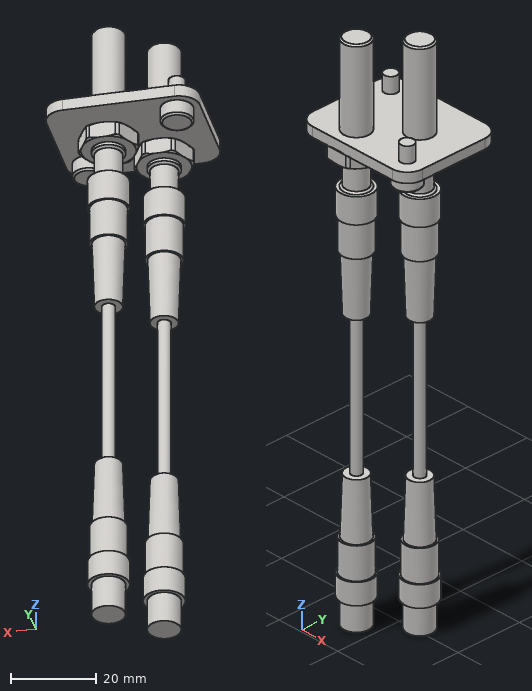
import cadquery as cq


plate_length = 37.0
plate_width = 30.5
plate_thickness = 3.0
plate_corner_radius = 5.0

sensor_spacing_x = 11.1
sensor_positions = [(-sensor_spacing_x / 2, -8.5), (sensor_spacing_x / 2, 1.5)]
rod_diameter = 8.0
rod_top = 25.3
rod_top_chamfer = 0.5
neck_top = -8.4
neck_diameter = 6.8
neck_bottom = -15.1
neck_cone_height = 0.5
sensor_bottom = neck_bottom - neck_cone_height

nut_across_flats = 12.9
nut_corner_diameter = 14.3
nut_thickness = 4.0
nut_chamfer_height = 0.3
nut_chamfer_width = 0.6

collar_diameter = 10.0
sleeve_diameter = 9.0
boot_large_diameter = 7.9
boot_small_diameter = 6.8
cable_diameter = 3.2
sleeve_length = 9.7
boot_length = 17.4
upper_collar_length = 7.7
cable_free_length = 43.6
lower_collar_length = 6.5
plug_tip_diameter = 8.0
plug_tip_lengths = [7.9, 8.2]

screw_positions = [(-12.9, 9.7), (12.9, -9.7)]
screw_shank_diameter = 4.0
screw_top = 4.8
screw_head_diameter = 7.9
screw_head_thickness = 3.9
screw_head_chamfer = 0.5


def cylinder(diameter, bottom, top):
    return cq.Workplane("XY").workplane(offset=bottom).circle(diameter / 2).extrude(top - bottom)


def make_plate():
    plate = (
        cq.Workplane("XY")
        .workplane(offset=-plate_thickness)
        .rect(plate_length, plate_width)
        .extrude(plate_thickness)
        .edges("|Z")
        .fillet(plate_corner_radius)
    )
    holes = [(position, rod_diameter) for position in sensor_positions]
    holes += [(position, screw_shank_diameter) for position in screw_positions]
    for (x, y), diameter in holes:
        plate = plate.cut(cylinder(diameter, -plate_thickness, 0).translate((x, y, 0)))
    return plate


def revolve_about_z(outline):
    return cq.Workplane("XZ").polyline(outline).close().revolve(360, (0, 0), (0, 1))


def make_sensor():
    rod_radius = rod_diameter / 2
    neck_radius = neck_diameter / 2
    return revolve_about_z(
        [
            (0, rod_top),
            (rod_radius - rod_top_chamfer, rod_top),
            (rod_radius, rod_top - rod_top_chamfer),
            (rod_radius, neck_top + neck_cone_height),
            (neck_radius, neck_top),
            (neck_radius, neck_bottom),
            (rod_radius, sensor_bottom),
            (0, sensor_bottom),
        ]
    )


def make_nut():
    bottom = -plate_thickness - nut_thickness
    hexagon = (
        cq.Workplane("XY")
        .workplane(offset=bottom)
        .polygon(6, nut_across_flats, circumscribed=True)
        .extrude(nut_thickness)
        .rotate((0, 0, 0), (0, 0, 1), 30)
    )
    trimming_disc = (
        cylinder(nut_corner_diameter, bottom, -plate_thickness)
        .faces("<Z or >Z")
        .chamfer(nut_chamfer_height, nut_chamfer_width)
    )
    return hexagon.intersect(trimming_disc).cut(cylinder(rod_diameter, bottom, -plate_thickness))


def make_cable(plug_tip_length):
    sections = [
        (upper_collar_length, collar_diameter, collar_diameter),
        (sleeve_length, sleeve_diameter, sleeve_diameter),
        (boot_length, boot_large_diameter, boot_small_diameter),
        (cable_free_length, cable_diameter, cable_diameter),
        (boot_length, boot_small_diameter, boot_large_diameter),
        (sleeve_length, sleeve_diameter, sleeve_diameter),
        (lower_collar_length, collar_diameter, collar_diameter),
        (plug_tip_length, plug_tip_diameter, plug_tip_diameter),
    ]
    z = sensor_bottom
    outline = [(0, z)]
    for length, top_diameter, bottom_diameter in sections:
        outline.append((top_diameter / 2, z))
        z -= length
        outline.append((bottom_diameter / 2, z))
    outline.append((0, z))
    return revolve_about_z(outline)


def make_screw():
    head_bottom = -plate_thickness - screw_head_thickness
    head = (
        cylinder(screw_head_diameter, head_bottom, -plate_thickness)
        .faces("<Z")
        .chamfer(screw_head_chamfer)
    )
    shank = cylinder(screw_shank_diameter, -plate_thickness, screw_top)
    return head.union(shank)


bodies = [make_plate().val()]
for (x, y), tip_length in zip(sensor_positions, plug_tip_lengths):
    for body in (make_sensor(), make_nut(), make_cable(tip_length)):
        bodies.append(body.translate((x, y, 0)).val())
for x, y in screw_positions:
    bodies.append(make_screw().translate((x, y, 0)).val())

result = cq.Compound.makeCompound(bodies)